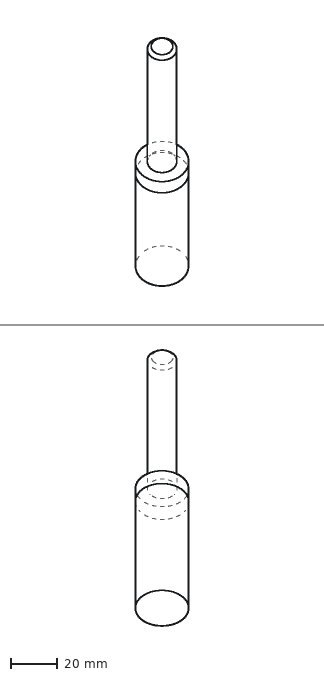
import cadquery as cq
import math

INCH = 25.4

overall_length = 6.0 * INCH
shank_length = 3.0 * INCH
shank_diameter = 0.5 * INCH
head_diameter = 29 / 32 * INCH
collar_length = 7.4
point_angle = 118.0
chamfer_size = 1.7

shank_radius = shank_diameter / 2
head_radius = head_diameter / 2
point_height = head_radius / math.tan(math.radians(point_angle / 2))
collar_top = overall_length - shank_length
cutter_top = collar_top - collar_length


def revolve_profile(points):
    """Solid of revolution about Z from a closed half profile of (radius, height) points."""
    return cq.Workplane("XZ").polyline(points).close().revolve(360, (0, 0), (0, 1))


def make_shank():
    """Chamfered shank with the wide collar that carries the cutter."""
    return revolve_profile([
        (0, cutter_top),
        (head_radius, cutter_top),
        (head_radius, collar_top),
        (shank_radius, collar_top),
        (shank_radius, overall_length - chamfer_size),
        (shank_radius - chamfer_size, overall_length),
        (0, overall_length),
    ])


def make_cutter():
    """Cylindrical cutting body that ends in a conical drill point."""
    return revolve_profile([
        (0, 0),
        (head_radius, point_height),
        (head_radius, cutter_top),
        (0, cutter_top),
    ])


shank = make_shank()
cutter = make_cutter()

result = cq.Compound.makeCompound([shank.val(), cutter.val()])